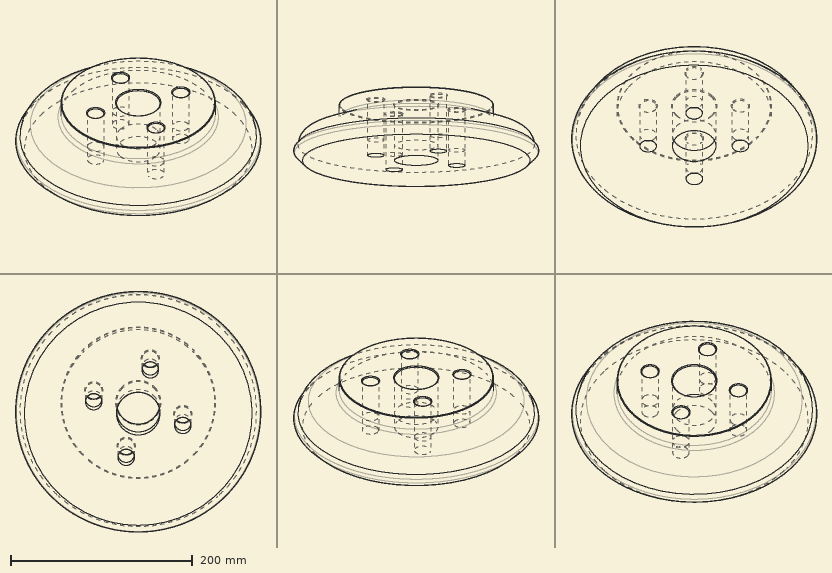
import cadquery as cq
import math

total_height = 63.0
outer_radius = 135.0
bore_diameter = 47.8
bolt_hole_diameter = 18.0
bolt_spacing = 71.8
edge_chamfer = 1.0

boss_radius = 170.0 / 2
boss_chamfer = 0.8
dome_radius = 260.0 / 2
split_height = 17.3
cone_angle = math.radians(19)
neck_fillet = 4.9
skirt_round = 16.7

bottom_radius = 125.2
bevel_meeting_height = (dome_radius - bottom_radius + split_height) / 2
bevel_meeting_radius = bottom_radius + bevel_meeting_height
rim_fillet = (bevel_meeting_radius - outer_radius) / (math.sqrt(2) - 1)


def arc_point(center, radius, angle):
    """Point on a circle in the (radius, height) plane."""
    return (center[0] + radius * math.cos(angle), center[1] + radius * math.sin(angle))


def bolt_hole_places(workplane):
    return workplane.rect(bolt_spacing, bolt_spacing, forConstruction=True).vertices()


def drill(body):
    """Cut the centre bore and the four bolt holes through a body."""
    bore = cq.Workplane("XY").circle(bore_diameter / 2).extrude(total_height)
    bolt_holes = bolt_hole_places(cq.Workplane("XY")).circle(bolt_hole_diameter / 2).extrude(total_height)
    return body.cut(bore).cut(bolt_holes)


def make_hub():
    cone_normal = math.pi / 2 - cone_angle
    skirt_center = (dome_radius - skirt_round, split_height)
    skirt_start = arc_point(skirt_center, skirt_round, cone_normal)
    skirt_middle = arc_point(skirt_center, skirt_round, cone_normal / 2)

    neck_center_radius = boss_radius + neck_fillet
    neck_end_radius = neck_center_radius - neck_fillet * math.sin(cone_angle)
    neck_end_height = skirt_start[1] + (skirt_start[0] - neck_end_radius) * math.tan(cone_angle)
    neck_center = (neck_center_radius, neck_end_height + neck_fillet * math.cos(cone_angle))
    neck_middle = arc_point(neck_center, neck_fillet, math.pi + cone_normal / 2)

    profile = (
        cq.Workplane("XZ")
        .moveTo(0, split_height)
        .lineTo(dome_radius, split_height)
        .threePointArc(skirt_middle, skirt_start)
        .lineTo(neck_end_radius, neck_end_height)
        .threePointArc(neck_middle, (boss_radius, neck_center[1]))
        .lineTo(boss_radius, total_height)
        .lineTo(0, total_height)
        .close()
    )
    hub = profile.revolve(360, (0, 0, 0), (0, 1, 0))
    hub = hub.faces(">Z").edges().chamfer(boss_chamfer)
    hub = drill(hub)
    hole_edges = hub.faces(">Z").edges(cq.selectors.RadiusNthSelector(0))
    hub = hole_edges.chamfer(edge_chamfer)
    return hub.faces(">Z").edges(cq.selectors.RadiusNthSelector(1)).chamfer(edge_chamfer)


def make_rim():
    profile = (
        cq.Workplane("XZ")
        .lineTo(bottom_radius, 0)
        .lineTo(bevel_meeting_radius, bevel_meeting_height)
        .lineTo(dome_radius, split_height)
        .lineTo(0, split_height)
        .close()
    )
    rim = profile.revolve(360, (0, 0, 0), (0, 1, 0))
    rim = rim.edges(cq.selectors.RadiusNthSelector(-1)).fillet(rim_fillet)
    return drill(rim)


hub = make_hub()
rim = make_rim()
result = cq.Compound.makeCompound([hub.val(), rim.val()])